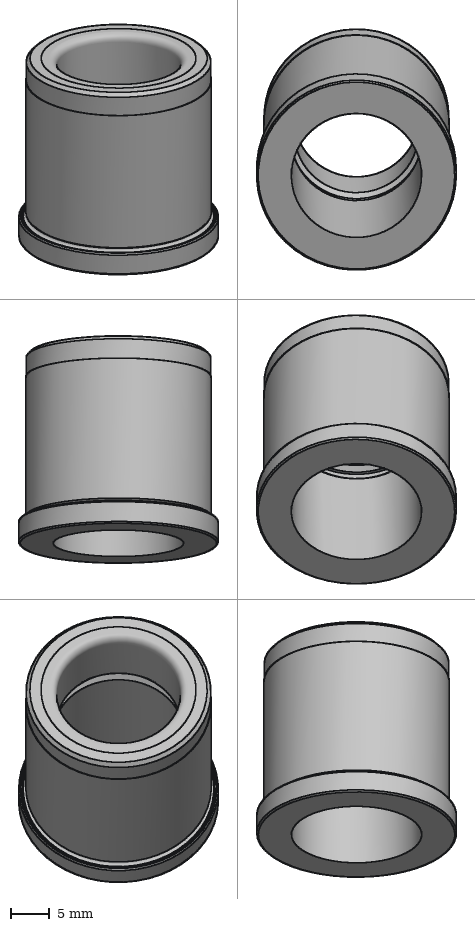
import cadquery as cq

height = 25.0
flange_radius = 12.9
flange_height = 3.02
flange_chamfer = 0.2

body_radius = 12.0
lead_radius = 11.95
lead_length = 3.05
lead_chamfer = 0.5

undercut_depth = 0.34
undercut_height = 0.46
undercut_floor_drop = 0.13
undercut_fillet = 0.35
undercut_floor_radius = 12.3
undercut_rim_radius = 12.5

liner_radius = 10.0
liner_length = 8.13
liner_bore_radius = 8.0
liner_top_fillet = 1.0
liner_bottom_chamfer = 0.62

relief_radius = 9.0
relief_length = 0.85
bore_radius = 8.4

seat_z = height - liner_length
relief_end_z = seat_z - relief_length
bore_top_z = relief_end_z - (relief_radius - bore_radius)


def make_housing():
    """Revolve the bush section: bore side upward, then outer side downward."""
    neck_radius = body_radius - undercut_depth
    floor_z = flange_height - undercut_floor_drop
    undercut_top_z = flange_height + undercut_height
    corner_start = (neck_radius, floor_z + undercut_fillet)
    corner_end = (neck_radius + undercut_fillet, floor_z)
    diagonal = undercut_fillet * (1 - 0.5 ** 0.5)
    corner_middle = (neck_radius + diagonal, floor_z + diagonal)
    return (
        cq.Workplane("XZ")
        .moveTo(bore_radius, 0)
        .lineTo(bore_radius, bore_top_z)
        .lineTo(relief_radius, relief_end_z)
        .lineTo(relief_radius, seat_z)
        .lineTo(liner_radius, seat_z)
        .lineTo(liner_radius, height)
        .lineTo(lead_radius - lead_chamfer, height)
        .lineTo(lead_radius, height - lead_chamfer)
        .lineTo(lead_radius, height - lead_length)
        .lineTo(body_radius, height - lead_length)
        .lineTo(body_radius, undercut_top_z)
        .lineTo(*corner_start)
        .threePointArc(corner_middle, corner_end)
        .lineTo(undercut_floor_radius, floor_z)
        .lineTo(undercut_rim_radius, flange_height)
        .lineTo(flange_radius - flange_chamfer, flange_height)
        .lineTo(flange_radius, flange_height - flange_chamfer)
        .lineTo(flange_radius, flange_chamfer)
        .lineTo(flange_radius - flange_chamfer, 0)
        .close()
        .revolve(360, (0, 0), (0, 1))
    )


def make_liner():
    """Ring seated in the housing, its bore rounded at the top and chamfered at the bottom."""
    bore_edge = cq.selectors.RadiusNthSelector(0)
    return (
        cq.Workplane("XY", origin=(0, 0, seat_z))
        .circle(liner_radius)
        .circle(liner_bore_radius)
        .extrude(liner_length)
        .faces(">Z")
        .edges(bore_edge)
        .fillet(liner_top_fillet)
        .faces("<Z")
        .edges(bore_edge)
        .chamfer(liner_bottom_chamfer)
    )


housing = make_housing()
liner = make_liner()
result = cq.Compound.makeCompound([housing.val(), liner.val()])